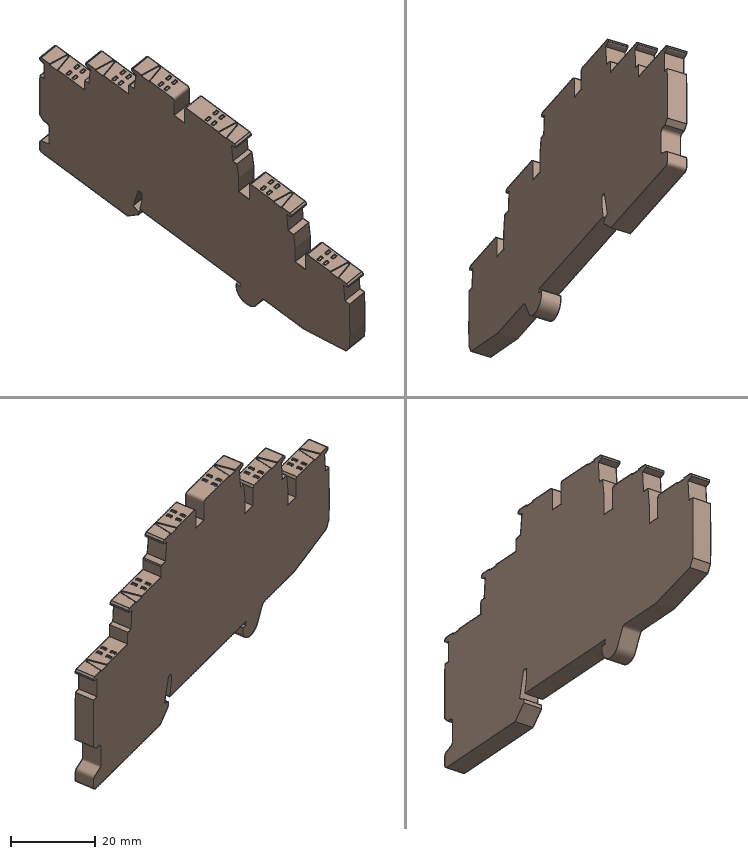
import cadquery as cq


length = 102.2
thickness = 5.2
height = 56.5

tier_step = 10.6
tier_tops = [height - 2 * tier_step, height - tier_step, height]
tier_count = len(tier_tops)
left_lips = [0.0, 15.1, 30.3]
left_walls = [0.0, 14.8, 29.3]
left_neck_drafts = [0.0, 0.4, 0.6]
left_wall_kink_drops = [10.2, 7.9, 7.5]
left_wall_kinks = [0.1, 0.1, 0.3]
right_lips = [101.7, 83.0, 64.8]
right_walls = [102.1, 83.7, 65.0]
right_neck_draft = 0.4

lip_top_setback = 0.5
lip_nose_top_drop = 0.4
lip_nose_bottom_drop = 0.9
lip_bottom_setback = 0.5
lip_bottom_drop = 1.2
neck_setback = 1.5
neck_top_drop = 1.5
shoulder_drop = 7.0

slot_width = 3.5
slot_depth = 6.0
side_slot_lefts = [84.2, 65.6]
side_slot_mouth_drop = 1.0
side_slot_chamfer = 0.5
top_slot_left = 44.4
top_slot_radius = 0.8

right_bulge_z = 17.0
right_chamfer_top = 12.1
right_chamfer_x = 101.0
right_chamfer_z = 9.9
slope_end_x = 87.1
right_underside_z = 6.4

underside_z = 5.8
hook_radius = 3.4
hook_left = 64.8
hook_top_z = 4.7
hook_notch_x = 66.0
hook_tangent_x = 71.3
hook_tangent_z = 2.1
hook_flank_x = 73.5
hook_flank_radius = 1.2

slit_mouth_right = 33.0
slit_right = 33.7
slit_right_bottom_z = 9.9
slit_top_left = 32.5
slit_top_z = 12.5
slit_tip_radius = 0.5
slit_mouth_left = 30.9
slit_mouth_left_z = 5.4
barb_x = 32.6
barb_top_z = 4.5
barb_bottom_z = 3.5
foot_right = 29.0

foot_corner_radius = 1.0
foot_top_z = 4.0
foot_top_radius = 1.2
recess_depth = 3.2
recess_bottom_z = 5.2
recess_top_z = 12.4
recess_top_radius = 0.9
recess_bottom_radius = 0.6
recess_chamfer = 1.2

mark_depth = 0.3
groove_from_lip = 4.6
groove_front_width = 2.7
groove_back_width = 0.7
groove_back_margin = 0.3
pocket_from_groove = 4.9
pocket_width = 0.7
pocket_length = 1.3
pocket_spacing_x = 1.9
pocket_spacing_y = 2.7


def lip_points(lip, top, inward):
    """Lip from tier top to neck; inward is +1 for a left-hand lip and -1 for a right-hand one."""
    return [
        (lip + inward * lip_top_setback, top),
        (lip, top - lip_nose_top_drop),
        (lip, top - lip_nose_bottom_drop),
        (lip + inward * lip_bottom_setback, top - lip_bottom_drop),
        (lip + inward * neck_setback, top - neck_top_drop),
    ]


def left_tier(i):
    """Left end of a tier, going up from the kink in its wall to its top."""
    top = tier_tops[i]
    wall = left_walls[i]
    neck_bottom = left_lips[i] + neck_setback - left_neck_drafts[i]
    kink = left_wall_kinks[i]
    wall_points = [
        (wall, top - left_wall_kink_drops[i]),
        (wall + kink, top - shoulder_drop - kink),
        (neck_bottom, top - shoulder_drop),
    ]
    return wall_points + lip_points(left_lips[i], top, 1)[::-1]


def right_tier(i):
    """Right end of a tier, going down from its top to its shoulder."""
    shoulder_z = tier_tops[i] - shoulder_drop
    neck_bottom = right_lips[i] - neck_setback + right_neck_draft
    shoulder = [(neck_bottom, shoulder_z), (right_walls[i], shoulder_z)]
    return lip_points(right_lips[i], tier_tops[i], -1) + shoulder


def side_slot(i):
    """Slot between tier i and the higher tier to its left, going left to right."""
    top = tier_tops[i]
    left = side_slot_lefts[i]
    right = left + slot_width
    return [
        (left, top - side_slot_mouth_drop),
        (left, top - slot_depth),
        (right, top - slot_depth),
        (right, top - side_slot_chamfer),
        (right + side_slot_chamfer, top),
    ]


def plate():
    """Stepped plate, its outline drawn clockwise from the bottom left corner."""
    points = [
        (0, 0),
        (0, foot_top_z),
        (recess_depth, recess_bottom_z),
        (recess_depth, recess_top_z),
        (recess_chamfer, recess_top_z),
        (0, recess_top_z + recess_chamfer),
    ]
    for i in range(tier_count):
        points += left_tier(i)
        if i < tier_count - 1:
            points.append((left_walls[i + 1], tier_tops[i]))
    for i in reversed(range(tier_count)):
        points += right_tier(i)
        if i > 0:
            points += side_slot(i - 1)
    points += [
        (length, right_bulge_z),
        (right_walls[0], right_chamfer_top),
        (right_chamfer_x, right_chamfer_z),
        (slope_end_x, right_underside_z),
        (hook_flank_x, right_underside_z),
        (hook_tangent_x, hook_tangent_z),
    ]
    foot = [
        (hook_left, hook_top_z),
        (hook_notch_x, hook_top_z),
        (hook_notch_x, underside_z),
        (slit_mouth_right, underside_z),
        (slit_right, slit_right_bottom_z),
        (slit_right, slit_top_z),
        (slit_top_left, slit_top_z),
        (slit_mouth_left, slit_mouth_left_z),
        (barb_x, barb_top_z),
        (barb_x, barb_bottom_z),
        (foot_right, 0),
    ]
    outline = (
        cq.Workplane("XZ", origin=(0, thickness / 2, 0))
        .polyline(points)
        .threePointArc((hook_left + hook_radius, 0), (hook_left, hook_radius))
    )
    for point in foot:
        outline = outline.lineTo(*point)
    return outline.close().extrude(thickness)


def round_corner(body, x, z, radius):
    """Round the outline corner at (x, z)."""
    return body.edges(cq.selectors.NearestToPointSelector((x, 0, z))).fillet(radius)


def cut_top_slot(body):
    """Slot in the highest tier, with rounded mouth corners."""
    right = top_slot_left + slot_width
    cutter = cq.Workplane("XY").box(slot_width, thickness, slot_depth, centered=(False, True, False))
    body = body.cut(cutter.translate((top_slot_left, 0, height - slot_depth)))
    body = round_corner(body, top_slot_left, height, top_slot_radius)
    return round_corner(body, right, height, top_slot_radius)


def tier_marks(lip, top, inward):
    """Cutter for the tapered groove and the four pockets on top of one tier end."""
    groove_x = lip + inward * groove_from_lip
    front_y = -thickness / 2
    back_y = thickness / 2 - groove_back_margin
    groove = [
        (groove_x - groove_front_width / 2, front_y),
        (groove_x + groove_front_width / 2, front_y),
        (groove_x + groove_back_width / 2, back_y),
        (groove_x - groove_back_width / 2, back_y),
    ]
    floor = cq.Workplane("XY").workplane(offset=top - mark_depth)
    pockets = (
        floor.center(groove_x + inward * pocket_from_groove, 0)
        .rarray(pocket_spacing_x, pocket_spacing_y, 2, 2)
        .rect(pocket_width, pocket_length)
        .extrude(mark_depth)
    )
    return floor.polyline(groove).close().extrude(mark_depth).add(pockets).combine()


result = cut_top_slot(plate())

for corner_x, corner_z, corner_radius in [
    (0, 0, foot_corner_radius),
    (0, foot_top_z, foot_top_radius),
    (recess_depth, recess_bottom_z, recess_bottom_radius),
    (recess_depth, recess_top_z, recess_top_radius),
    (slit_top_left, slit_top_z, slit_tip_radius),
    (slit_right, slit_top_z, slit_tip_radius),
    (hook_flank_x, right_underside_z, hook_flank_radius),
]:
    result = round_corner(result, corner_x, corner_z, corner_radius)

for i in range(tier_count):
    result = result.cut(tier_marks(left_lips[i], tier_tops[i], 1))
    result = result.cut(tier_marks(right_lips[i], tier_tops[i], -1))